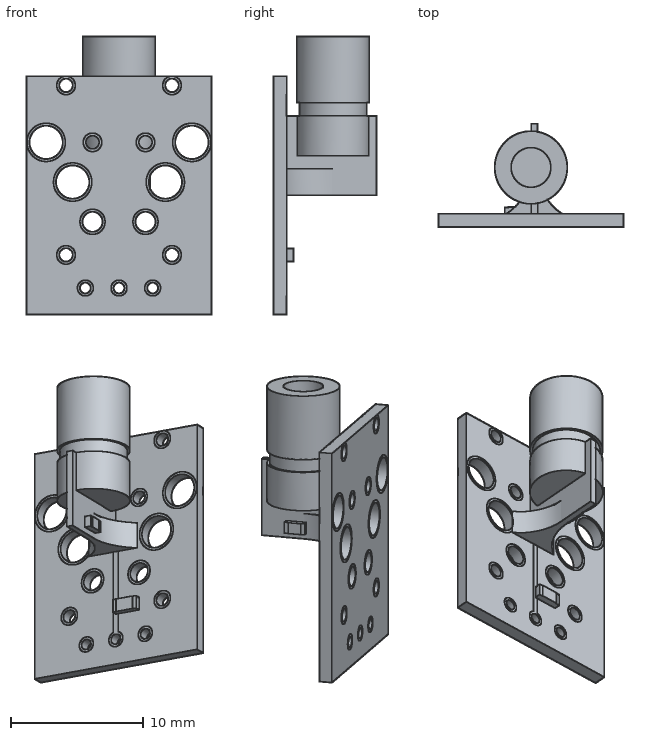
import cadquery as cq
import math

BOARD_WIDTH = 14.0
BOARD_HEIGHT = 18.0
BOARD_THICKNESS = 1.0

COPPER_HEIGHT = 0.01
RING_WIDTH = 0.2
TRACE_WIDTH = 0.4
TRACE_BOTTOM = -15.5

HOLE_ROWS = [
    (1.0, 0.7, (-4.0, 4.0)),
    (1.0, 5.0, (-2.0, 2.0)),
    (2.5, 5.0, (-5.5, 5.5)),
    (2.5, 8.0, (-3.5, 3.5)),
    (1.5, 11.0, (-2.0, 2.0)),
    (1.0, 13.5, (-4.0, 4.0)),
    (0.8, 16.0, (-2.54, 0.0, 2.54)),
]

WEB_THICKNESS = 0.5
WEB_TOP = -3.0
WEB_BOTTOM = -9.0
WEB_DEPTH = 6.8

FILLET_HEIGHT = 2.0
FILLET_DEPTH = 3.43
FILLET_FOOT = 1.85

BARREL_Y = 3.5
BARREL_DIAMETER = 5.5
BARREL_TOP = 3.0
BARREL_BOTTOM = -6.0
NECK_DIAMETER = 5.1
NECK_TOP = -2.0
BORE_DIAMETER = 3.0
BORE_DEPTH = 1.0

CHIP_HEIGHT = 0.52
TERMINAL_HEIGHT = 0.48
TERMINAL_LENGTH = 0.3
WEB_CHIP_LENGTH = 1.6
WEB_CHIP_WIDTH = 0.85
WEB_CHIP_Y = 4.05
WEB_CHIP_Z = -8.1
BOARD_CHIP_LENGTH = 2.0
BOARD_CHIP_WIDTH = 1.0
BOARD_CHIP_X = -1.0
BOARD_CHIP_Z = -13.5


def cylinder_along_y(diameter, x, z, y_start, y_end):
    direction = cq.Vector(0, 1, 0)
    start = cq.Vector(x, y_start, z)
    return cq.Workplane(cq.Solid.makeCylinder(diameter / 2, y_end - y_start, start, direction))


def make_board():
    """Plate with its copper rings and through holes."""
    board = cq.Workplane().box(
        BOARD_WIDTH, BOARD_THICKNESS, BOARD_HEIGHT, centered=(True, False, False)
    )
    board = board.translate((0, -BOARD_THICKNESS, -BOARD_HEIGHT))
    front = -BOARD_THICKNESS - COPPER_HEIGHT
    back = COPPER_HEIGHT
    places = [(dia, x, -drop) for dia, drop, row in HOLE_ROWS for x in row]
    for diameter, x, z in places:
        board = board.union(cylinder_along_y(diameter + 2 * RING_WIDTH, x, z, front, back))
    for diameter, x, z in places:
        board = board.cut(cylinder_along_y(diameter, x, z, front, back))
    return board


def make_trace():
    """Copper trace from the foot of the web down to the ring of the lowest centre hole."""
    length = WEB_BOTTOM - TRACE_BOTTOM
    trace = cq.Workplane().box(TRACE_WIDTH, COPPER_HEIGHT, length, centered=(True, False, False))
    return trace.translate((0, 0, TRACE_BOTTOM))


def make_web():
    """Wall standing square on the back of the board."""
    height = WEB_TOP - WEB_BOTTOM
    wall = cq.Workplane().box(WEB_THICKNESS, WEB_DEPTH, height, centered=False)
    return wall.translate((0, 0, WEB_BOTTOM))


def make_solder_fillets():
    """Concave arcs on both sides of the web, tangent to its faces."""
    radius = (FILLET_FOOT**2 + FILLET_DEPTH**2) / (2 * FILLET_FOOT)
    mid_depth = FILLET_DEPTH / 2
    mid_offset = radius - math.sqrt(radius**2 - (FILLET_DEPTH - mid_depth) ** 2)
    left = 0.0
    right = WEB_THICKNESS
    return (
        cq.Workplane("XY", origin=(0, 0, WEB_BOTTOM))
        .moveTo(left - FILLET_FOOT, 0)
        .lineTo(right + FILLET_FOOT, 0)
        .threePointArc((right + mid_offset, mid_depth), (right, FILLET_DEPTH))
        .lineTo(left, FILLET_DEPTH)
        .threePointArc((left - mid_offset, mid_depth), (left - FILLET_FOOT, 0))
        .close()
        .extrude(FILLET_HEIGHT)
    )


def barrel_section(diameter, bottom, top):
    return cq.Workplane("XY", origin=(0, BARREL_Y, bottom)).circle(diameter / 2).extrude(top - bottom)


def make_barrel():
    """Two wide sections joined by a neck, with a blind bore in the top."""
    upper = barrel_section(BARREL_DIAMETER, NECK_TOP, BARREL_TOP)
    neck = barrel_section(NECK_DIAMETER, WEB_TOP, NECK_TOP)
    lower = barrel_section(BARREL_DIAMETER, BARREL_BOTTOM, WEB_TOP)
    bore = barrel_section(BORE_DIAMETER, BARREL_TOP - BORE_DEPTH, BARREL_TOP)
    return upper.union(neck).union(lower).cut(bore)


def make_chip(length, width):
    """Chip lying along X, centred on the origin and standing on z = 0."""
    on_base = (True, True, False)
    terminals = cq.Workplane().box(length, width, TERMINAL_HEIGHT, centered=on_base)
    body = cq.Workplane().box(length - 2 * TERMINAL_LENGTH, width, CHIP_HEIGHT, centered=on_base)
    return terminals.union(body)


def make_web_chip():
    """Chip on the left face of the web, lying along Y."""
    chip = make_chip(WEB_CHIP_LENGTH, WEB_CHIP_WIDTH)
    chip = chip.rotate((0, 0, 0), (0, 0, 1), 90)
    chip = chip.rotate((0, 0, 0), (0, 1, 0), -90)
    return chip.translate((0, WEB_CHIP_Y, WEB_CHIP_Z))


def make_board_chip():
    """Chip on the back face of the board, lying along X."""
    chip = make_chip(BOARD_CHIP_LENGTH, BOARD_CHIP_WIDTH)
    chip = chip.rotate((0, 0, 0), (1, 0, 0), -90)
    return chip.translate((BOARD_CHIP_X, 0, BOARD_CHIP_Z))


result = (
    make_board()
    .union(make_trace())
    .union(make_web())
    .union(make_solder_fillets())
    .union(make_barrel())
    .union(make_web_chip())
    .union(make_board_chip())
)